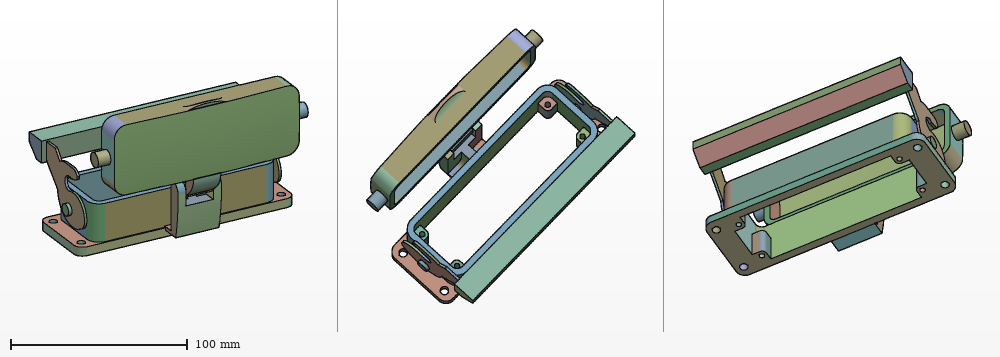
import cadquery as cq
import math

clearance = 1.4

flange_length = 141.0
flange_width = 45.5
flange_height = 5.6
flange_corner = 5.6
mount_hole_x = 16.1
mount_hole_y = 65.0
mount_hole_radius = 2.4

hull_length = 120.3
hull_width = 43.7
hull_top = 29.6
hull_corner = 7.9
wall = 3.8
inner_corner = hull_corner - wall

boss_top = 17.5
boss_inner_x = 10.2
boss_inner_y = 48.6
boss_corner = 2.8
screw_x = 13.5
screw_y = 51.9
screw_radius = 1.5

pivot_z = 19.6
pivot_radius = 2.4
pivot_head_radius = 3.7
pivot_head_end = 66.3
lever_outer_y = 64.0
lever_thickness = 1.5
bar_length = 134.2
bar_back = -40.0
bar_front = -25.8
bar_top = 52.3
bar_bottom = 38.5
bar_bevel_x = -31.7
bar_bevel_z = 46.1
arm_top = 51.3
finger_top = 47.1
notch_z = 35.7
notch_radius = 4.5
notch_upper_angle = 60
notch_lower_angle = 285
cam_x = 5.5
cam_z = 19.3
cam_radius = 12.5
cam_start_angle = 100

bracket_half_width = 14.1
bracket_front = 29.0
bracket_bottom = 4.2
bracket_top = 38.4
bracket_foot_top = 6.5
bracket_back = 37.4
rib_half_width = 3.0
rib_fillet = 4.2
window_half_width = 8.9
window_bottom = 24.1
crossbar_front = 31.3
crossbar_bottom = 29.6
crossbar_top = 35.7

cover_front = 30.9
cover_z = 66.4
cover_peak = 47.8
cover_floor = 3.5
dome_drop_long = 1.8
dome_drop_short = 1.0
cover_pin_x = 37.0
cover_pin_radius = 4.5
cover_pin_end = 68.2

tongue_front = 37.0
tongue_bottom = 30.6
tongue_back = 46.1
grip_half_width = 12.4
grip_base_x = 40.2
grip_crest_x = 43.9
grip_back = 46.1
grip_top = 90.1

cover_half_height = hull_width / 2
cover_top = cover_z + cover_half_height
cover_bottom = cover_z - cover_half_height


def box(x_range, y_range, z_range):
    """Box between the given limits."""
    limits = (x_range, y_range, z_range)
    size = [high - low for low, high in limits]
    corner = tuple(low for low, high in limits)
    return cq.Workplane("XY").box(*size, centered=False).translate(corner)


def rounded_block(width, length, height, corner):
    """Upright block standing on Z = 0 with rounded vertical edges."""
    return cq.Workplane("XY").rect(width, length).extrude(height).edges("|Z").fillet(corner)


def side_plane(y):
    """XZ plane at the given Y; a positive extrusion runs towards -Y."""
    return cq.Workplane("XZ", origin=(0, y, 0))


def mirrored(half):
    """Solid joined with its mirror image across Y = 0."""
    return half.union(half.mirror("XZ"))


def make_base():
    inner_width = hull_width - 2 * wall
    inner_length = hull_length - 2 * wall
    flange = rounded_block(flange_width, flange_length, flange_height, flange_corner)
    hull = rounded_block(hull_width, hull_length, hull_top, hull_corner)
    opening = rounded_block(inner_width, inner_length, hull_top, inner_corner)
    base = flange.union(hull).cut(opening)

    hull_solid = rounded_block(hull_width, hull_length, boss_top, hull_corner)
    for x_side in (-1, 1):
        for y_side in (-1, 1):
            boss_width = hull_width / 2 - boss_inner_x
            boss_length = hull_length / 2 - boss_inner_y
            boss = (
                rounded_block(boss_width, boss_length, boss_top, boss_corner)
                .translate((x_side * (boss_inner_x + boss_width / 2),
                            y_side * (boss_inner_y + boss_length / 2), 0))
                .intersect(hull_solid)
            )
            base = base.union(boss)

    screw_holes = (
        cq.Workplane("XY").rect(2 * screw_x, 2 * screw_y, forConstruction=True)
        .vertices().circle(screw_radius).extrude(boss_top)
    )
    mount_holes = (
        cq.Workplane("XY").rect(2 * mount_hole_x, 2 * mount_hole_y, forConstruction=True)
        .vertices().circle(mount_hole_radius).extrude(flange_height)
    )
    return base.cut(screw_holes).cut(mount_holes)


def on_circle(x, z, radius, angle):
    """Point on a circle at an angle in degrees, counted from +X towards +Z."""
    turn = math.radians(angle)
    return (x + radius * math.cos(turn), z + radius * math.sin(turn))


def make_lever():
    bar = (
        side_plane(bar_length / 2)
        .moveTo(bar_back, bar_top)
        .lineTo(bar_front, bar_top)
        .lineTo(bar_front, bar_bottom)
        .lineTo(bar_bevel_x, bar_bottom)
        .lineTo(bar_back, bar_bevel_z)
        .close()
        .extrude(bar_length)
    )
    arm_corner = (-15.7, arm_top)
    finger_root = (-10.5, 45.3)
    finger_rise = (-7.5, 46.5)
    finger_top_start = (-4.2, finger_top)
    finger_top_end = (4.4, finger_top)
    tip_shoulder = (7.3, 46.2)
    tip = (9.6, 43.5)
    tip_underside = (9.2, 42.0)
    tip_end = (7.6, 40.9)
    notch_start = on_circle(0, notch_z, notch_radius, notch_upper_angle)
    notch_end = on_circle(0, notch_z, notch_radius, notch_lower_angle)
    cam_start = on_circle(cam_x, cam_z, cam_radius, cam_start_angle)
    cam_middle = on_circle(cam_x, cam_z, cam_radius, cam_start_angle / 2)
    cam_shoulder = (16.6, 15.0)
    cam_heel = (13.4, 12.5)
    cam_lowest = (5.4, 10.2)
    cam_back = (-13.0, 26.6)
    arm_underside = (bar_front, 39.5)
    plate = (
        side_plane(lever_outer_y)
        .moveTo(bar_front, arm_top)
        .lineTo(*arm_corner)
        .lineTo(*finger_root)
        .threePointArc(finger_rise, finger_top_start)
        .lineTo(*finger_top_end)
        .threePointArc(tip_shoulder, tip)
        .threePointArc(tip_underside, tip_end)
        .lineTo(*notch_start)
        .threePointArc((-notch_radius, notch_z), notch_end)
        .lineTo(*cam_start)
        .threePointArc(cam_middle, (cam_x + cam_radius, cam_z))
        .threePointArc(cam_shoulder, cam_heel)
        .threePointArc(cam_lowest, cam_back)
        .lineTo(*arm_underside)
        .close()
        .extrude(lever_thickness)
    )
    hull_end = hull_length / 2
    shank = (
        side_plane(lever_outer_y).center(0, pivot_z)
        .circle(pivot_radius).extrude(lever_outer_y - hull_end + wall / 2)
    )
    head = (
        side_plane(pivot_head_end).center(0, pivot_z)
        .circle(pivot_head_radius).extrude(pivot_head_end - lever_outer_y)
    )
    return bar.union(mirrored(plate.union(shank).union(head)))


def make_bracket():
    hull_side = hull_width / 2 - wall / 2
    heel_x = 34.7
    back_middle = (36.8, 17.6)
    back_end = (bracket_back, 32.1)
    shoulder_middle = (36.1, 36.0)
    top_end = (32.7, bracket_top)
    post = (
        side_plane(bracket_half_width)
        .moveTo(bracket_front, bracket_bottom)
        .lineTo(heel_x, bracket_bottom)
        .threePointArc(back_middle, back_end)
        .threePointArc(shoulder_middle, top_end)
        .lineTo(bracket_front, bracket_top)
        .close()
        .extrude(2 * bracket_half_width)
    )
    window_y = (-window_half_width, window_half_width)
    beyond_back = bracket_back + clearance
    window = box((bracket_front, beyond_back), window_y, (window_bottom, bracket_top))
    crossbar = box((crossbar_front, beyond_back), window_y, (crossbar_bottom, crossbar_top))
    post = post.cut(window.cut(crossbar))

    foot_y = rib_half_width + rib_fillet
    web = (
        cq.Workplane("YZ", origin=(hull_side, 0, 0))
        .moveTo(-bracket_half_width, bracket_bottom)
        .lineTo(bracket_half_width, bracket_bottom)
        .lineTo(bracket_half_width, bracket_foot_top)
        .lineTo(foot_y, bracket_foot_top)
        .radiusArc((rib_half_width, bracket_foot_top + rib_fillet), rib_fillet)
        .lineTo(rib_half_width, window_bottom)
        .lineTo(-rib_half_width, window_bottom)
        .lineTo(-rib_half_width, bracket_foot_top + rib_fillet)
        .radiusArc((-foot_y, bracket_foot_top), rib_fillet)
        .lineTo(-bracket_half_width, bracket_foot_top)
        .close()
        .extrude(bracket_front - hull_side)
    )
    return post.union(web)


def sagitta_radius(half_chord, rise):
    """Radius of the arc that rises by the given amount over a half chord."""
    return (half_chord ** 2 + rise ** 2) / (2 * rise)


def domed_block(peak):
    """Block reaching from the cover front to a back face curved both ways, highest at the peak."""
    long_radius = sagitta_radius(hull_length / 2, dome_drop_long)
    axis_x = peak - long_radius
    sweep = 2 * math.degrees(math.asin((hull_length / 2 + clearance) / (cover_front - axis_x)))
    section = (
        cq.Workplane("XZ")
        .moveTo(cover_front - clearance, cover_bottom)
        .lineTo(peak - dome_drop_short, cover_bottom)
        .threePointArc((peak, cover_z), (peak - dome_drop_short, cover_top))
        .lineTo(cover_front - clearance, cover_top)
        .close()
    )
    block = section.revolve(sweep, (axis_x, cover_bottom, 0), (axis_x, cover_top, 0))
    return block.rotate((axis_x, 0, 0), (axis_x, 0, 1), -sweep / 2)


def cover_prism(inset, corner):
    """Rounded rectangle of the cover, inset from its outline and extruded towards +X."""
    return (
        cq.Workplane("YZ", origin=(cover_front, 0, cover_z))
        .rect(hull_length - 2 * inset, hull_width - 2 * inset)
        .extrude(cover_peak - cover_front)
        .edges("|X").fillet(corner)
    )


def make_cover():
    shell = cover_prism(0, hull_corner).intersect(domed_block(cover_peak))
    cavity = cover_prism(wall, inner_corner).intersect(domed_block(cover_peak - cover_floor))
    pin = (
        side_plane(cover_pin_end).center(cover_pin_x, cover_z)
        .circle(cover_pin_radius).extrude(cover_pin_end - hull_length / 2 + wall / 2)
    )
    return shell.cut(cavity).union(mirrored(pin))


def make_tongue():
    root = cover_bottom + wall / 2
    toe_x = 37.6
    slope_top = (41.7, 34.4)
    bulge = (44.8, 39.0)
    return (
        side_plane(window_half_width)
        .moveTo(tongue_front, root)
        .lineTo(tongue_front, tongue_bottom)
        .lineTo(toe_x, tongue_bottom)
        .lineTo(*slope_top)
        .threePointArc(bulge, (tongue_back, cover_bottom))
        .lineTo(tongue_back, root)
        .close()
        .extrude(2 * window_half_width)
    )


def make_grip():
    """Low arched bump whose front face is hollowed for a fingertip."""
    root = cover_top - wall / 2
    hollow = (42.5, 89.0)
    arch = (
        cq.Workplane("YZ", origin=(grip_base_x, 0, 0))
        .moveTo(-grip_half_width, root)
        .lineTo(-grip_half_width, cover_top)
        .threePointArc((0, grip_top), (grip_half_width, cover_top))
        .lineTo(grip_half_width, root)
        .close()
        .extrude(grip_back - grip_base_x)
    )
    side_profile = (
        side_plane(grip_half_width)
        .moveTo(grip_base_x, root)
        .lineTo(grip_base_x, cover_top)
        .threePointArc(hollow, (grip_crest_x, grip_top))
        .lineTo(grip_back, grip_top)
        .lineTo(grip_back, root)
        .close()
        .extrude(2 * grip_half_width)
    )
    return arch.intersect(side_profile)


result = (
    make_base()
    .union(make_lever())
    .union(make_bracket())
    .union(make_cover())
    .union(make_tongue())
    .union(make_grip())
)